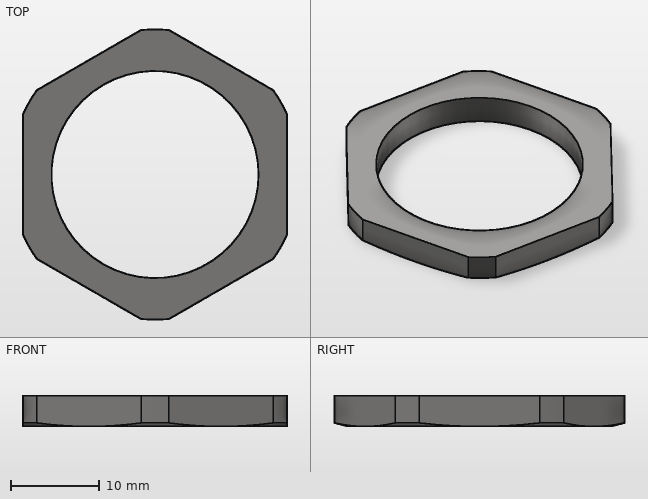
import cadquery as cq
import math

across_flats = 30.0
corner_diameter = 32.98
hole_diameter = 23.48
thickness = 3.5
chamfer_angle = 15.0

chamfer_width = (corner_diameter - across_flats) / 2
chamfer_height = chamfer_width * math.tan(math.radians(chamfer_angle))


def hexagonal_prism():
    """Hexagon with two flats facing +X and -X, resting on Z = 0."""
    across_corners = across_flats / math.cos(math.radians(30))
    return (
        cq.Workplane("XY")
        .polygon(6, across_corners)
        .extrude(thickness)
        .rotate((0, 0, 0), (0, 0, 1), 30)
    )


def turned_envelope():
    """Disc that rounds the hexagon corners and bevels their bottom edges."""
    return (
        cq.Workplane("XY")
        .circle(corner_diameter / 2)
        .extrude(thickness)
        .faces("<Z")
        .chamfer(chamfer_height, chamfer_width)
    )


def center_hole():
    return cq.Workplane("XY").circle(hole_diameter / 2).extrude(thickness)


result = hexagonal_prism().intersect(turned_envelope()).cut(center_hole())